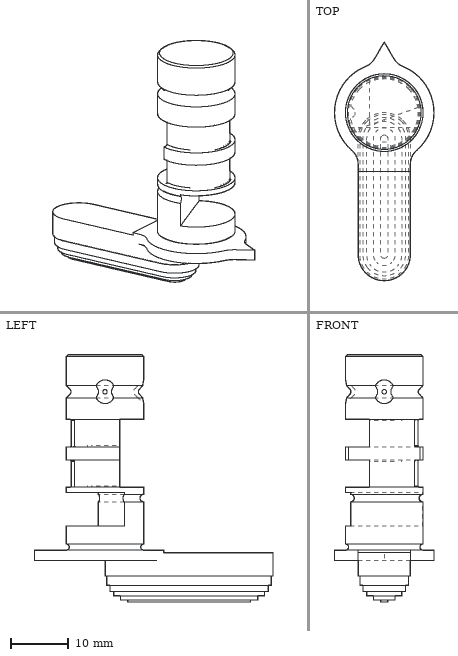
import cadquery as cq
import math

spindle_radius = 6.8
total_height = 43.3
top_chamfer = 0.35

head_groove_z = 36.8
head_groove_half_width = 1.1
head_groove_floor_half_width = 0.5
head_groove_depth = 0.82
head_bottom_z = 31.95

dimple_mouth_radius = 2.1
dimple_tip_radius = 0.4

core_radius = 5.95
core_fillet = 0.2
core_flat_offset = 2.6
core_bottom_z = 20.1
fin_bottom_z = 24.85
fin_top_z = 27.15

ring_groove_z = 18.2
ring_groove_radius = 0.65
undercut_radius = 0.5
notch_bottom_z = 13.35
notch_top_z = 19.15
notch_angle = 20.0
notch_offset = -1.15

plate_top_z = 9.1
plate_thickness = 1.85
plate_bottom_z = plate_top_z - plate_thickness
plate_diameter = 17.45
plate_radius = plate_diameter / 2
pointer_tip_y = 12.4
pointer_half_angle = 30.0
blend_radius = 3.25
plate_end_y = -10.3

lever_length = 29.45
lever_radius = 4.6
lever_top_z = 8.65
lever_tiers = [(4.55, 0.0), (2.9, 0.3), (1.8, 0.85), (1.1, 1.5), (0.35, 2.7), (0.0, 3.95)]


def cylinder(radius, bottom_z, top_z):
    return cq.Workplane("XY").workplane(offset=bottom_z).circle(radius).extrude(top_z - bottom_z)


def block(x_min, x_max, y_min, y_max, bottom_z, top_z):
    size = (x_max - x_min, y_max - y_min, top_z - bottom_z)
    return cq.Workplane("XY").box(*size, centered=False).translate((x_min, y_min, bottom_z))


def round_groove(center_z, section_radius):
    section = cq.Workplane("XZ").center(spindle_radius, center_z).circle(section_radius)
    return section.revolve(360, (-spindle_radius, 0), (-spindle_radius, 1))


def head_groove():
    """45 degree V-groove with a rounded floor."""
    flank_depth = head_groove_half_width - head_groove_floor_half_width
    flank_radius = spindle_radius - flank_depth
    floor_radius = spindle_radius - head_groove_depth
    return (
        cq.Workplane("XZ", origin=(0, 0, head_groove_z))
        .moveTo(spindle_radius, head_groove_half_width)
        .lineTo(flank_radius, head_groove_floor_half_width)
        .threePointArc((floor_radius, 0), (flank_radius, -head_groove_floor_half_width))
        .lineTo(spindle_radius, -head_groove_half_width)
        .close()
        .revolve(360, (0, 0), (0, 1))
    )


def dimple(angle):
    """Cone pointing at the spindle axis, placed at an angle about Z from +X."""
    tip_distance = spindle_radius - (dimple_mouth_radius - dimple_tip_radius)
    clearance = 0.45
    mouth_radius = dimple_mouth_radius + clearance
    mouth_distance = spindle_radius + clearance
    cone = cq.Solid.makeCone(
        dimple_tip_radius,
        mouth_radius,
        mouth_distance - tip_distance,
        pnt=cq.Vector(tip_distance, 0, head_groove_z),
        dir=cq.Vector(1, 0, 0),
    )
    return cq.Workplane(cone).rotate((0, 0, 0), (0, 0, 1), angle)


def core_recess(bottom_z, top_z):
    """Cutter ring between the core and the spindle surface, rounded at the core."""
    core = cylinder(core_radius, bottom_z, top_z)
    ring = cylinder(2 * spindle_radius, bottom_z, top_z).cut(core)
    inner_edges = ring.edges(cq.selectors.RadiusNthSelector(0))
    return inner_edges.fillet(core_fillet)


def notch():
    """Cutter for the part of the drum behind a slanted vertical plane."""
    reach = 2 * spindle_radius
    half_space = block(-reach, reach, notch_offset, reach, notch_bottom_z, notch_top_z)
    return half_space.rotate((0, 0, 0), (0, 0, 1), notch_angle)


def spindle():
    reach = 2 * spindle_radius
    body = cylinder(spindle_radius, plate_bottom_z, total_height).faces(">Z").chamfer(top_chamfer)
    body = body.cut(head_groove())
    for angle in (180, 270):
        body = body.cut(dimple(angle))
    for bottom_z, top_z in ((core_bottom_z, fin_bottom_z), (fin_top_z, head_bottom_z)):
        body = body.cut(core_recess(bottom_z, top_z))
        body = body.cut(block(-reach, -core_flat_offset, -reach, reach, bottom_z, top_z))
    body = body.cut(block(-reach, reach, -reach, -core_flat_offset, core_bottom_z, head_bottom_z))
    body = body.cut(round_groove(ring_groove_z, ring_groove_radius))
    body = body.cut(round_groove(plate_top_z + undercut_radius, undercut_radius))
    return body.cut(notch())


def toward(start, target, distance):
    """Point at a distance from start on the way to target."""
    span = math.dist(start, target)
    return tuple(a + (b - a) * distance / span for a, b in zip(start, target))


def arc_middle(center, start, end):
    """Middle of the short arc between two points around a center."""
    chord_middle = tuple((a + b) / 2 for a, b in zip(start, end))
    return toward(center, chord_middle, math.dist(center, start))


def pointer_plate():
    """Disc blended into a pointed tip at +Y and into the lever sides at -Y."""
    blend_center_distance = plate_radius + blend_radius

    half_angle = math.radians(pointer_half_angle)
    normal = (math.cos(half_angle), math.sin(half_angle))
    flank_distance = pointer_tip_y * normal[1]
    center_offset = flank_distance + blend_radius
    along = math.sqrt(blend_center_distance**2 - center_offset**2)
    tip_center = (
        center_offset * normal[0] - along * normal[1],
        center_offset * normal[1] + along * normal[0],
    )
    flank_end = (tip_center[0] - blend_radius * normal[0], tip_center[1] - blend_radius * normal[1])
    disc_upper = toward((0, 0), tip_center, plate_radius)
    upper_mid = arc_middle(tip_center, flank_end, disc_upper)

    neck_x = lever_radius + blend_radius
    neck_center = (neck_x, -math.sqrt(blend_center_distance**2 - neck_x**2))
    disc_lower = toward((0, 0), neck_center, plate_radius)
    neck_start = (lever_radius, neck_center[1])
    lower_mid = arc_middle(neck_center, disc_lower, neck_start)

    half = (
        cq.Workplane("XY", origin=(0, 0, plate_bottom_z))
        .moveTo(0, pointer_tip_y)
        .lineTo(*flank_end)
        .threePointArc(upper_mid, disc_upper)
        .threePointArc((plate_radius, 0), disc_lower)
        .threePointArc(lower_mid, neck_start)
        .lineTo(lever_radius, plate_end_y)
        .lineTo(0, plate_end_y)
        .close()
        .extrude(plate_thickness)
    )
    return half.union(half.mirror("YZ"))


def lever():
    body = None
    tier_top_z = lever_top_z
    for bottom_z, inset in lever_tiers:
        tier = (
            cq.Workplane("XY", origin=(0, -lever_length / 2, bottom_z))
            .slot2D(lever_length - 2 * inset, 2 * (lever_radius - inset), 90)
            .extrude(tier_top_z - bottom_z)
        )
        body = tier if body is None else body.union(tier)
        tier_top_z = bottom_z
    return body


result = spindle().union(pointer_plate()).union(lever())